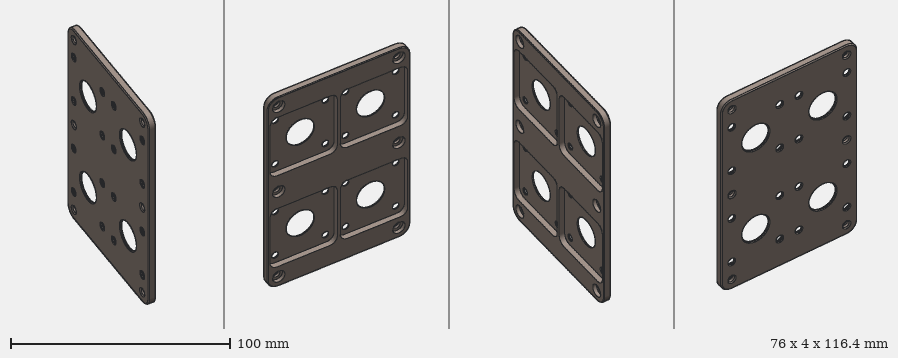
import cadquery as cq

height = 116.4
width = 76.0
thickness = 4.0
corner_radius = 5.9
front_chamfer = 0.6
back_chamfer = 0.41

seat_x = 18.7
seat_z = 28.0
pocket_side = 35.9
pocket_corner_radius = 4.0
web = 0.99
opening_diameter = 15.0
opening_chamfer = 0.41
screw_offset = 13.4
screw_diameter = 3.5
screw_chamfer = 0.41

mount_x = 32.0
mount_z = 52.3
mount_diameter = 3.5
mount_chamfer = 0.6
counterbore_diameter = 6.5
counterbore_depth = 2.0

front_y = -thickness / 2
back_y = thickness / 2
signs = (-1, 1)


def make_plate():
    """Rounded rectangular plate, centred on the origin, chamfered around both faces."""
    plate = cq.Workplane("XY").box(width, thickness, height)
    plate = plate.edges("|Y").fillet(corner_radius)
    plate = plate.faces("<Y").chamfer(front_chamfer)
    return plate.faces(">Y").chamfer(back_chamfer)


def pocket_cutter():
    """Rounded square that reaches from the web to the back face."""
    depth = thickness - web
    pocket = cq.Workplane("XY").box(pocket_side, depth, pocket_side)
    pocket = pocket.edges("|Y").fillet(pocket_corner_radius)
    return pocket.translate((0, back_y - depth / 2, 0))


def hole_cutter(diameter, chamfer, depth):
    """Hole from the front face to the given depth, with a 45-degree chamfer at the front."""
    radius = diameter / 2
    end_y = front_y + depth
    profile = [
        (0, front_y),
        (radius + chamfer, front_y),
        (radius, front_y + chamfer),
        (radius, end_y),
        (0, end_y),
    ]
    return cq.Workplane("XY").polyline(profile).close().revolve(360, (0, 0), (0, 1))


def counterbore_cutter():
    """Cylinder sunk into the back face for a screw head."""
    bore = cq.Workplane("XZ").circle(counterbore_diameter / 2).extrude(counterbore_depth)
    return bore.translate((0, back_y, 0))


def cut_at(body, cutter, centers):
    """Remove a copy of the cutter at each (x, z) centre."""
    for x, z in centers:
        body = body.cut(cutter.translate((x, 0, z)))
    return body


seat_centers = [(sx * seat_x, sz * seat_z) for sx in signs for sz in signs]
screw_centers = [
    (x + sx * screw_offset, z + sz * screw_offset)
    for x, z in seat_centers
    for sx in signs
    for sz in signs
]
mount_centers = [(sx * mount_x, z) for sx in signs for z in (-mount_z, 0, mount_z)]

result = make_plate()
result = cut_at(result, pocket_cutter(), seat_centers)
result = cut_at(result, hole_cutter(opening_diameter, opening_chamfer, web), seat_centers)
result = cut_at(result, hole_cutter(screw_diameter, screw_chamfer, web), screw_centers)
result = cut_at(result, hole_cutter(mount_diameter, mount_chamfer, thickness), mount_centers)
result = cut_at(result, counterbore_cutter(), mount_centers)